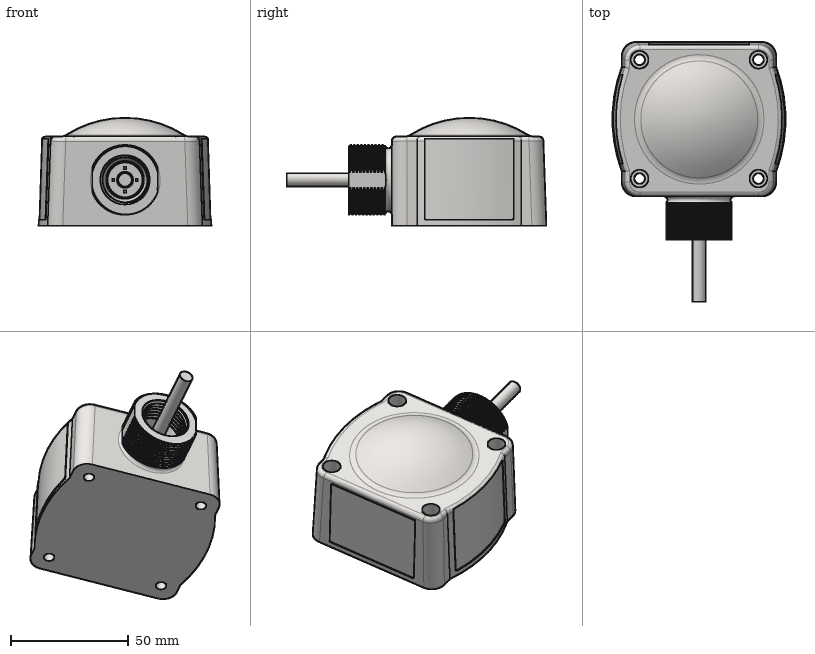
import cadquery as cq
import math

overall_length = 110.8
housing_width = 65.9
housing_height = 38.1
bulged_width = 73.9
overall_height = 46.1

half_width = housing_width / 2
front_y = -half_width
back_y = half_width

draft_angle = 2.0
corner_radius = 6.3
bulge_half_length = 22.2
top_fillet = 2.0

recess_depth = 0.28
recess_base_z = 2.7
side_recess_length = 38.0
back_recess_length = 43.0
back_recess_height = 32.1
recess_corner_radius = 0.7

dome_radius = 24.9
dome_foot_radius = 27.6
dome_foot_height = 0.8

screw_spacing = 50.6
screw_hole_diameter = 4.4
screw_head_diameter = 7.5
screw_head_depth = 7.6

nipple_z = 19.6
nipple_end = 51.4
neck_length = 2.8
neck_wall_radius = 14.8
neck_waist_radius = 13.5
thread_crest_diameter = 29.8
thread_root_radius = 14.3
thread_turns = 10.4
flat_to_flat = 27.8
neck_waist = half_width + neck_length / 2
thread_start = half_width + neck_length
thread_crest_radius = thread_crest_diameter / 2
thread_pitch = (nipple_end - thread_start) / thread_turns

bore_minor_radius = 9.5
bore_major_radius = 10.5
bore_pitch = 1.8
bore_chamfer_length = 0.9
bore_thread_depth = 10.6
bore_cone_depth = 4.4
bore_seat_radius = 8.1
bore_floor_radius = 7.4
bore_floor_chamfer_length = 0.7
bore_chamfer_start = nipple_end - bore_chamfer_length
bore_thread_end = nipple_end - bore_thread_depth
bore_cone_end = bore_thread_end - bore_cone_depth
bore_floor = bore_cone_end - bore_floor_chamfer_length

ridge_base_share = 0.8
ridge_crest_share = 0.15
ridge_sink = 0.05

pin_count = 4
pin_size = 1.0
pin_length = 1.1
pin_circle_radius = 5.0
cable_hole_radius = 3.4
cable_hole_depth = 3.3

cable_radius = 2.9
cable_end = overall_length - half_width
cable_start = bore_floor - cable_hole_depth


def shell_outline(z, depth):
    """Closed plan outline of the housing at height z, with drafted walls moved in by depth."""
    inset = z * math.tan(math.radians(draft_angle)) + depth
    side = half_width - inset
    back = back_y - inset
    bulge = bulged_width / 2 - inset
    cut = corner_radius * (1 - math.sqrt(0.5))
    return (
        cq.Workplane("XY", origin=(0, 0, z))
        .moveTo(corner_radius - side, front_y)
        .lineTo(side - corner_radius, front_y)
        .threePointArc((side - cut, front_y + cut), (side, front_y + corner_radius))
        .lineTo(side, -bulge_half_length)
        .threePointArc((bulge, 0), (side, bulge_half_length))
        .lineTo(side, back - corner_radius)
        .threePointArc((side - cut, back - cut), (side - corner_radius, back))
        .lineTo(corner_radius - side, back)
        .threePointArc((cut - side, back - cut), (-side, back - corner_radius))
        .lineTo(-side, bulge_half_length)
        .threePointArc((-bulge, 0), (-side, -bulge_half_length))
        .lineTo(-side, front_y + corner_radius)
        .threePointArc((cut - side, front_y + cut), (corner_radius - side, front_y))
        .close()
        .val()
    )


def make_shell(depth):
    """Drafted block between the base and the top face."""
    outlines = [shell_outline(0, depth), shell_outline(housing_height, depth)]
    return cq.Workplane(cq.Solid.makeLoft(outlines, True))


def make_recess_windows():
    """Blocks that bound the label recesses; the side ones run out through the top fillet."""
    side_height = housing_height - recess_base_z + 2 * recess_corner_radius
    sides = (
        cq.Workplane("XY")
        .box(2 * bulged_width, side_recess_length, side_height, centered=(True, True, False))
        .translate((0, 0, recess_base_z))
        .edges("|X")
        .fillet(recess_corner_radius)
    )
    back = (
        cq.Workplane("XY")
        .box(back_recess_length, housing_width, back_recess_height, centered=(True, False, False))
        .translate((0, 0, recess_base_z))
        .edges("|Y")
        .fillet(recess_corner_radius)
    )
    return sides.union(back)


def make_dome():
    """Spherical cap on a concave foot, sunk below the top face so that it fuses cleanly."""
    foot_top_z = housing_height + dome_foot_height
    foot_run = dome_foot_radius - dome_radius
    foot_arc_radius = (foot_run**2 + dome_foot_height**2) / (2 * dome_foot_height)
    foot_half_angle = math.asin(foot_run / foot_arc_radius) / 2
    foot_middle = (
        dome_foot_radius - foot_arc_radius * math.sin(foot_half_angle),
        housing_height + foot_arc_radius * (1 - math.cos(foot_half_angle)),
    )
    cap_height = overall_height - foot_top_z
    sphere_radius = (dome_radius**2 + cap_height**2) / (2 * cap_height)
    cap_half_angle = math.asin(dome_radius / sphere_radius) / 2
    cap_middle = (
        sphere_radius * math.sin(cap_half_angle),
        overall_height - sphere_radius * (1 - math.cos(cap_half_angle)),
    )
    base_z = housing_height - top_fillet
    return (
        cq.Workplane("XZ")
        .moveTo(0, base_z)
        .lineTo(dome_foot_radius, base_z)
        .lineTo(dome_foot_radius, housing_height)
        .threePointArc(foot_middle, (dome_radius, foot_top_z))
        .threePointArc(cap_middle, (0, overall_height))
        .close()
        .revolve(360, (0, 0, 0), (0, 1, 0))
    )


def along_nipple(body):
    """Turn a body built along +Z so that it runs along -Y on the nipple axis."""
    return body.rotate((0, 0, 0), (1, 0, 0), 90).translate((0, 0, nipple_z))


def cylinder(radius, start, end):
    """Cylinder along +Z between two heights."""
    return cq.Workplane("XY").workplane(offset=start).circle(radius).extrude(end - start)


def threaded_rod(root_radius, crest_radius, pitch, start, end):
    """Rod along +Z with a right-handed helical ridge that runs out through both end faces."""
    run_out = 2 * pitch
    half_base = ridge_base_share * pitch / 2
    half_crest = ridge_crest_share * pitch / 2
    sunk_radius = root_radius - ridge_sink
    helix = cq.Wire.makeHelix(pitch, end - start + run_out, root_radius)
    ridge = (
        cq.Workplane("XZ")
        .moveTo(sunk_radius, -half_base)
        .lineTo(crest_radius, -half_crest)
        .lineTo(crest_radius, half_crest)
        .lineTo(sunk_radius, half_base)
        .close()
        .sweep(cq.Workplane(helix), isFrenet=True)
        .translate((0, 0, start - pitch / 2))
    )
    core = cylinder(root_radius, start - run_out, end + run_out)
    return core.union(ridge).intersect(cylinder(2 * crest_radius, start, end))


def make_neck():
    """Waisted neck, one concave arc from the front wall to the thread root, along +Z."""
    sunk_base = half_width - top_fillet
    return (
        cq.Workplane("XZ")
        .moveTo(0, sunk_base)
        .lineTo(neck_wall_radius, sunk_base)
        .lineTo(neck_wall_radius, half_width)
        .threePointArc((neck_waist_radius, neck_waist), (thread_root_radius, thread_start))
        .lineTo(0, thread_start)
        .close()
        .revolve(360, (0, 0, 0), (0, 1, 0))
    )


def make_flat_cutters():
    """Two blocks that cut the flats on the thread, from the waist of the neck to the end."""
    outer = cylinder(2 * thread_crest_radius, neck_waist, nipple_end)
    kept = cq.Workplane("XY").box(flat_to_flat, 4 * thread_crest_radius, 2 * nipple_end)
    return outer.cut(kept)


def make_nipple():
    """Neck and externally threaded barrel with two flats, along +Z."""
    barrel = threaded_rod(
        thread_root_radius, thread_crest_radius, thread_pitch, thread_start, nipple_end
    )
    return make_neck().union(barrel).cut(make_flat_cutters())


def make_bore_thread():
    """Threaded stretch of the nipple bore, along +Z."""
    return threaded_rod(
        bore_minor_radius, bore_major_radius, bore_pitch, bore_thread_end, nipple_end
    )


def make_bore_bottom():
    """Cone and chamfered floor of the bore below its thread, along +Z."""
    return (
        cq.Workplane("XZ")
        .moveTo(0, bore_floor)
        .lineTo(bore_floor_radius, bore_floor)
        .lineTo(bore_seat_radius, bore_cone_end)
        .lineTo(bore_minor_radius, bore_thread_end)
        .lineTo(0, bore_thread_end)
        .close()
        .revolve(360, (0, 0, 0), (0, 1, 0))
    )


def make_bore_mouth():
    """Conical lead-in at the mouth of the bore, along +Z."""
    return (
        cq.Workplane("XZ")
        .moveTo(0, bore_chamfer_start)
        .lineTo(bore_minor_radius, bore_chamfer_start)
        .lineTo(bore_major_radius, nipple_end)
        .lineTo(0, nipple_end)
        .close()
        .revolve(360, (0, 0, 0), (0, 1, 0))
    )


def make_pins():
    """Four square pins standing on the bore floor around the cable hole, along +Z."""
    return (
        cq.Workplane("XY")
        .workplane(offset=bore_floor)
        .polarArray(pin_circle_radius, 0, 360, pin_count)
        .rect(pin_size, pin_size)
        .extrude(pin_length)
    )


def screw_cylinders(diameter, base_z):
    """One upright cylinder per screw, from base_z up through the top face."""
    return (
        cq.Workplane("XY")
        .workplane(offset=base_z)
        .rect(screw_spacing, screw_spacing, forConstruction=True)
        .vertices()
        .circle(diameter / 2)
        .extrude(housing_height - base_z)
    )


def make_housing():
    """Housing with its dome, label recesses, screw holes and threaded cable nipple."""
    housing = make_shell(0).faces(">Z").edges().fillet(top_fillet)
    housing = housing.cut(make_recess_windows().cut(make_shell(recess_depth)))
    housing = housing.union(make_dome())
    housing = housing.cut(screw_cylinders(screw_hole_diameter, 0))
    housing = housing.cut(screw_cylinders(screw_head_diameter, housing_height - screw_head_depth))
    housing = housing.union(along_nipple(make_nipple()))
    cable_hole = cylinder(cable_hole_radius, cable_start, bore_floor)
    for removed in (make_bore_thread(), make_bore_bottom(), make_bore_mouth(), cable_hole):
        housing = housing.cut(along_nipple(removed))
    return housing.union(along_nipple(make_pins()))


def make_cable():
    """Plain round cable that rests on the bottom of its hole and runs out of the nipple."""
    return along_nipple(cylinder(cable_radius, cable_start, cable_end))


housing = make_housing()
cable = make_cable()
result = cq.Compound.makeCompound([*housing.solids().vals(), cable.val()])